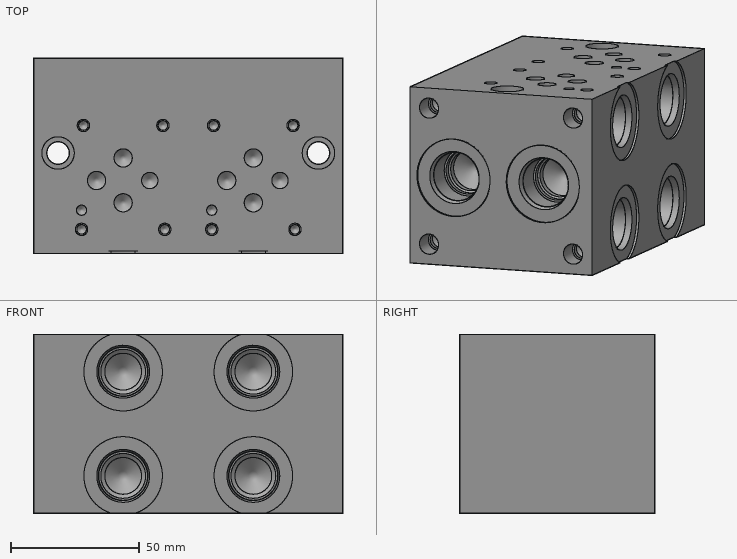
import cadquery as cq
import math

LENGTH = 120.6
WIDTH = 76.3
HEIGHT = 69.9

DRILL_POINT_ANGLE = 118.0

SPOTFACE_DIAMETER = 30.6
SPOTFACE_DEPTH = 1.0
SEAL_CONE_OUTER_DIAMETER = 20.6
SEAL_CONE_INNER_DIAMETER = 19.3
SEAL_CONE_DEPTH = 3.4
THREAD_DIAMETER = 19.1
THREAD_MINOR_DIAMETER = 17.5
THREAD_DEPTH = 14.5
THREAD_DRILL_DEPTH = 16.9
PORT_DEPTH = 20.5
FRONT_BORE_DIAMETER = 14.4
END_BORE_DIAMETER = 15.9

STATION_SPACING = 50.8
FRONT_PORT_SPACING_Z = 40.7
END_PORT_Y = (20.6, 58.0)

CORNER_INSET = 8.0
CORNER_THREAD_DIAMETER = 8.0
CORNER_THREAD_DEPTH = 9.7
CORNER_DRILL_DIAMETER = 6.5
CORNER_DRILL_DEPTH = 12.1

MOUNT_SPACING = 101.6
MOUNT_Y = 39.2
MOUNT_DIAMETER = 8.7
MOUNT_COUNTERBORE_DIAMETER = 12.7
MOUNT_COUNTERBORE_DEPTH = 14.5

REAR_BOLT_Y = 50.0
REAR_BOLT_SPACING = 31.0
FRONT_BOLT_SPACING = 32.5
BOLT_ROW_SPACING = 40.5
BOLT_THREAD_DIAMETER = 4.8
BOLT_THREAD_DEPTH = 12.1
BOLT_DRILL_DIAMETER = 3.7
BOLT_DRILL_DEPTH = 14.5
PIN_SETBACK = 33.0
PIN_DIAMETER = 4.0
PIN_DEPTH = 6.0
VALVE_PORT_DIAMETER = 7.1
PRESSURE_PORT_DIAMETER = 6.4
VALVE_PORT_DEPTH = 2.0
SIDE_PORT_OFFSET = 10.4
SIDE_PORT_SETBACK = 21.5
WORK_PORT_SETBACKS = (12.7, 30.2)


def drill_point_length(diameter):
    return diameter / 2 / math.tan(math.radians(DRILL_POINT_ANGLE / 2))


def hole_cutter(steps):
    """Revolved cutter along -Z from (diameter, depth) steps, closed by a drill point."""
    points = [(0, 0)]
    points += [(diameter / 2, -depth) for diameter, depth in steps]
    last_diameter, last_depth = steps[-1]
    points.append((0, -last_depth - drill_point_length(last_diameter)))
    return cq.Workplane("XZ").polyline(points).close().revolve(360, (0, 0, 0), (0, 1, 0))


def plain_hole(diameter, depth):
    return hole_cutter([(diameter, 0), (diameter, depth)])


def tapped_hole(thread_diameter, thread_depth, drill_diameter, drill_depth):
    return hole_cutter([
        (thread_diameter, 0),
        (thread_diameter, thread_depth),
        (drill_diameter, thread_depth),
        (drill_diameter, drill_depth),
    ])


def threaded_port(bore_diameter):
    bore_start = THREAD_DRILL_DEPTH + drill_point_length(THREAD_MINOR_DIAMETER - bore_diameter)
    return hole_cutter([
        (SPOTFACE_DIAMETER, 0),
        (SPOTFACE_DIAMETER, SPOTFACE_DEPTH),
        (SEAL_CONE_OUTER_DIAMETER, SPOTFACE_DEPTH),
        (SEAL_CONE_INNER_DIAMETER, SEAL_CONE_DEPTH),
        (THREAD_DIAMETER, SEAL_CONE_DEPTH),
        (THREAD_DIAMETER, THREAD_DEPTH),
        (THREAD_MINOR_DIAMETER, THREAD_DEPTH),
        (THREAD_MINOR_DIAMETER, THREAD_DRILL_DEPTH),
        (bore_diameter, bore_start),
        (bore_diameter, PORT_DEPTH),
    ])


def drill_top(block, cutter, x, y):
    return block.cut(cutter.translate((x, y, HEIGHT)))


def drill_front(block, cutter, x, z):
    return block.cut(cutter.rotate((0, 0, 0), (1, 0, 0), 90).translate((x, 0, z)))


def drill_end(block, cutter, y, z):
    return block.cut(cutter.rotate((0, 0, 0), (0, 1, 0), -90).translate((0, y, z)))


def pair(center, spacing):
    return (center - spacing / 2, center + spacing / 2)


def cut_valve_pattern(block, x):
    bolt = tapped_hole(
        BOLT_THREAD_DIAMETER, BOLT_THREAD_DEPTH, BOLT_DRILL_DIAMETER, BOLT_DRILL_DEPTH)
    for bolt_x in pair(x, REAR_BOLT_SPACING):
        block = drill_top(block, bolt, bolt_x, REAR_BOLT_Y)
    for bolt_x in pair(x, FRONT_BOLT_SPACING):
        block = drill_top(block, bolt, bolt_x, REAR_BOLT_Y - BOLT_ROW_SPACING)

    pin = plain_hole(PIN_DIAMETER, PIN_DEPTH)
    block = drill_top(block, pin, x - FRONT_BOLT_SPACING / 2, REAR_BOLT_Y - PIN_SETBACK)

    valve_port = plain_hole(VALVE_PORT_DIAMETER, VALVE_PORT_DEPTH)
    pressure_port = plain_hole(PRESSURE_PORT_DIAMETER, VALVE_PORT_DEPTH)
    for setback in WORK_PORT_SETBACKS:
        block = drill_top(block, valve_port, x, REAR_BOLT_Y - setback)
    side_port_y = REAR_BOLT_Y - SIDE_PORT_SETBACK
    block = drill_top(block, valve_port, x - SIDE_PORT_OFFSET, side_port_y)
    return drill_top(block, pressure_port, x + SIDE_PORT_OFFSET, side_port_y)


result = cq.Workplane("XY").box(LENGTH, WIDTH, HEIGHT, centered=False)

front_port = threaded_port(FRONT_BORE_DIAMETER)
for station_x in pair(LENGTH / 2, STATION_SPACING):
    result = cut_valve_pattern(result, station_x)
    for port_z in pair(HEIGHT / 2, FRONT_PORT_SPACING_Z):
        result = drill_front(result, front_port, station_x, port_z)

end_port = threaded_port(END_BORE_DIAMETER)
for port_y in END_PORT_Y:
    result = drill_end(result, end_port, port_y, HEIGHT / 2)

corner_hole = tapped_hole(
    CORNER_THREAD_DIAMETER, CORNER_THREAD_DEPTH, CORNER_DRILL_DIAMETER, CORNER_DRILL_DEPTH)
for corner_y in (CORNER_INSET, WIDTH - CORNER_INSET):
    for corner_z in (CORNER_INSET, HEIGHT - CORNER_INSET):
        result = drill_end(result, corner_hole, corner_y, corner_z)

mount_hole_centers = [(x, MOUNT_Y) for x in pair(LENGTH / 2, MOUNT_SPACING)]
result = (
    result.faces(">Z").workplane(origin=(0, 0))
    .pushPoints(mount_hole_centers)
    .cboreHole(MOUNT_DIAMETER, MOUNT_COUNTERBORE_DIAMETER, MOUNT_COUNTERBORE_DEPTH)
)